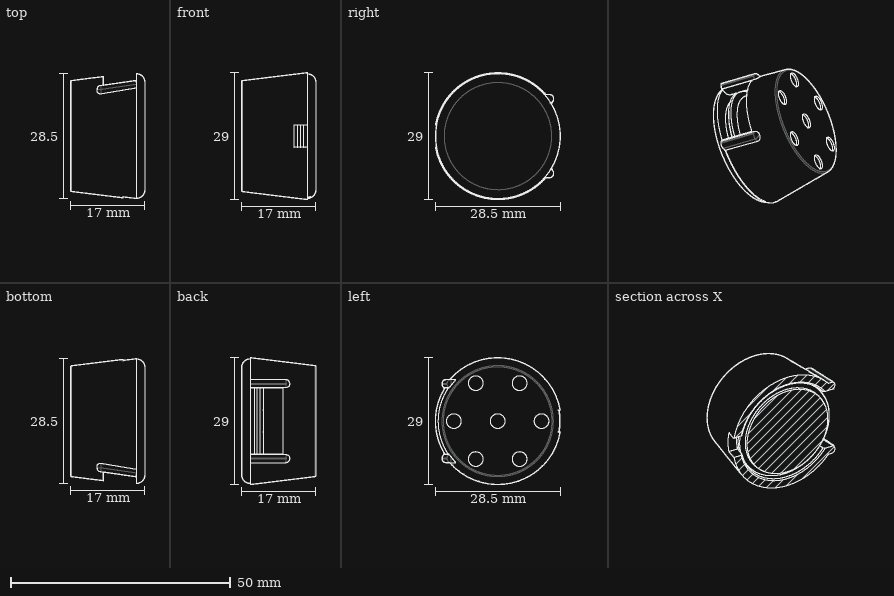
import cadquery as cq
import math

cup_length = 15.0
mouth_radius = 14.5
taper = math.tan(math.radians(7.0))
base_radius = mouth_radius - cup_length * taper
base_fillet = 0.3
floor_thickness = 2.0
wall_thickness = 2.25
mouth_chamfer = 0.5

lid_radius = 14.25
lid_thickness = 2.0
plug_length = 3.0
neck_radius = 10.8
neck_length = 0.9
bead_flank_length = 0.65
bead_crest_length = 0.65
bead_slope = math.tan(math.radians(60.0))

recess_diameter = 3.35
recess_depth = 0.5
recess_circle_radius = 10.0
recess_count = 6

notch_length = 3.0
notch_width = 5.0

window_length = 7.5
window_width = 15.0
rail_width = 2.0
rail_offset = (window_width + rail_width) / 2
rail_end_center_x = 7.0
rail_tip_crest = 11.4
rail_lid_crest = 12.7
rail_depth = 2.4
rail_edge_radius = 0.9


def revolve_about_x(profile):
    """Turn a closed (x, radius) profile about the X axis."""
    return profile.close().revolve(360, (0, 0, 0), (1, 0, 0))


def wall_radius(x):
    return base_radius + x * taper


def make_cup():
    cup = revolve_about_x(
        cq.Workplane("XY")
        .lineTo(0, -base_radius)
        .lineTo(cup_length, -mouth_radius)
        .lineTo(cup_length, 0)
    )
    cup = cup.faces("<X").edges().fillet(base_fillet)
    cavity_mouth_radius = mouth_radius - wall_thickness
    cavity = revolve_about_x(
        cq.Workplane("XY")
        .moveTo(floor_thickness, 0)
        .lineTo(floor_thickness, wall_thickness - wall_radius(floor_thickness))
        .lineTo(cup_length - mouth_chamfer, wall_thickness - wall_radius(cup_length - mouth_chamfer))
        .lineTo(cup_length, -cavity_mouth_radius - mouth_chamfer)
        .lineTo(cup_length, 0)
    )
    return cup.cut(cavity)


def make_lid():
    flange = (
        cq.Workplane("XY")
        .moveTo(cup_length, 0)
        .lineTo(cup_length, -lid_radius)
        .radiusArc((cup_length + lid_thickness, lid_thickness - lid_radius), -lid_thickness)
        .lineTo(cup_length + lid_thickness, 0)
    )
    neck_end = cup_length - neck_length
    bead_radius = neck_radius + bead_flank_length * bead_slope
    crest_start = neck_end - bead_flank_length
    crest_end = crest_start - bead_crest_length
    plug_end = cup_length - plug_length
    plug_end_radius = bead_radius - (crest_end - plug_end) * bead_slope
    plug = (
        cq.Workplane("XY")
        .moveTo(cup_length, 0)
        .lineTo(cup_length, -neck_radius)
        .lineTo(neck_end, -neck_radius)
        .lineTo(crest_start, -bead_radius)
        .lineTo(crest_end, -bead_radius)
        .lineTo(plug_end, -plug_end_radius)
        .lineTo(plug_end, 0)
    )
    return revolve_about_x(flange).union(revolve_about_x(plug))


def make_recesses():
    return (
        cq.Workplane("YZ")
        .polarArray(recess_circle_radius, 0, 360, recess_count)
        .circle(recess_diameter / 2)
        .extrude(recess_depth)
        .union(cq.Workplane("YZ").circle(recess_diameter / 2).extrude(recess_depth))
    )


def make_mouth_opening(length, width, side):
    """Block that opens the cup wall up to the mouth on the +Y (side = 1) or -Y (side = -1) side."""
    return (
        cq.Workplane("XY")
        .box(length, mouth_radius, width, centered=(False, False, True))
        .translate((cup_length - length, 0 if side > 0 else -mouth_radius, 0))
    )


def make_rail(z):
    """Rail at height z, rising toward the lid, with a rounded free end and rounded top edges."""
    half_width = rail_width / 2
    tip_x = rail_end_center_x - half_width
    slope = (rail_lid_crest - rail_tip_crest) / (cup_length - tip_x)
    overrun_x = cup_length + rail_width
    overrun_crest = rail_tip_crest + slope * (overrun_x - tip_x)
    side_profile = (
        cq.Workplane("XY", origin=(0, 0, z - half_width))
        .moveTo(tip_x, rail_tip_crest)
        .lineTo(overrun_x, overrun_crest)
        .lineTo(overrun_x, overrun_crest - rail_depth)
        .lineTo(tip_x, rail_tip_crest - rail_depth)
        .close()
        .extrude(rail_width)
    )
    round_ended_strip = (
        cq.Workplane("XZ")
        .moveTo(overrun_x, z - half_width)
        .lineTo(rail_end_center_x, z - half_width)
        .threePointArc((tip_x, z), (rail_end_center_x, z + half_width))
        .lineTo(overrun_x, z + half_width)
        .close()
        .extrude(-mouth_radius)
    )
    rail = side_profile.intersect(round_ended_strip)
    rail = rail.faces(">Y").edges("not(>X)").fillet(rail_edge_radius)
    cup_zone = cq.Workplane("YZ").circle(2 * mouth_radius).extrude(cup_length)
    return rail.intersect(cup_zone)


cup = make_cup().cut(make_recesses())
cup = cup.cut(make_mouth_opening(notch_length, notch_width, -1))
cup = cup.cut(make_mouth_opening(window_length, window_width, 1))
for rail_z in (-rail_offset, rail_offset):
    cup = cup.union(make_rail(rail_z))

result = cup.union(make_lid())